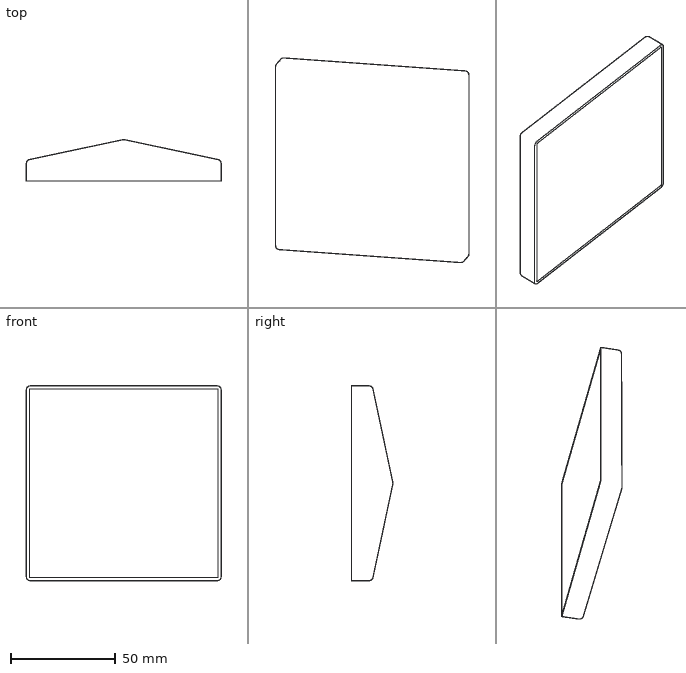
import cadquery as cq
import math

side = 93.5
height = 19.9
roof_angle = 12.0
wall = 1.5
inner_radius = 0.5
outer_radius = inner_radius + wall

roof_slope = math.tan(math.radians(roof_angle))
roof_stretch = 1 / math.cos(math.radians(roof_angle))


def pyramid(base_half, base_y, apex_y):
    """Square pyramid with its base across Y and its apex towards +Y."""
    corner_signs = [(-1, -1), (1, -1), (1, 1), (-1, 1)]
    corners = [(x * base_half, base_y, z * base_half) for x, z in corner_signs]
    apex = (0, apex_y, 0)
    outlines = [corners]
    for start, end in zip(corners, corners[1:] + corners[:1]):
        outlines.append([start, end, apex])
    faces = []
    for points in outlines:
        wire = cq.Wire.makePolygon([cq.Vector(*point) for point in points], close=True)
        faces.append(cq.Face.makeFromWires(wire))
    return cq.Workplane(cq.Solid.makeSolid(cq.Shell.makeShell(faces)))


def rounded_roof_block(half, top_y, radius):
    """Square block from Y = 0 under a pyramid roof, rounded everywhere but at the rim."""
    sharp_apex_y = top_y + radius * (roof_stretch - 1)
    eave_y = sharp_apex_y - half * roof_slope
    block = cq.Workplane("XZ").rect(2 * half, 2 * half).extrude(-eave_y)
    sharp = block.union(pyramid(half, eave_y, sharp_apex_y))
    return sharp.edges("not <Y").fillet(radius)


outer = rounded_roof_block(side / 2, height, outer_radius)
cavity = rounded_roof_block(side / 2 - wall, height - wall, inner_radius)
result = outer.cut(cavity)